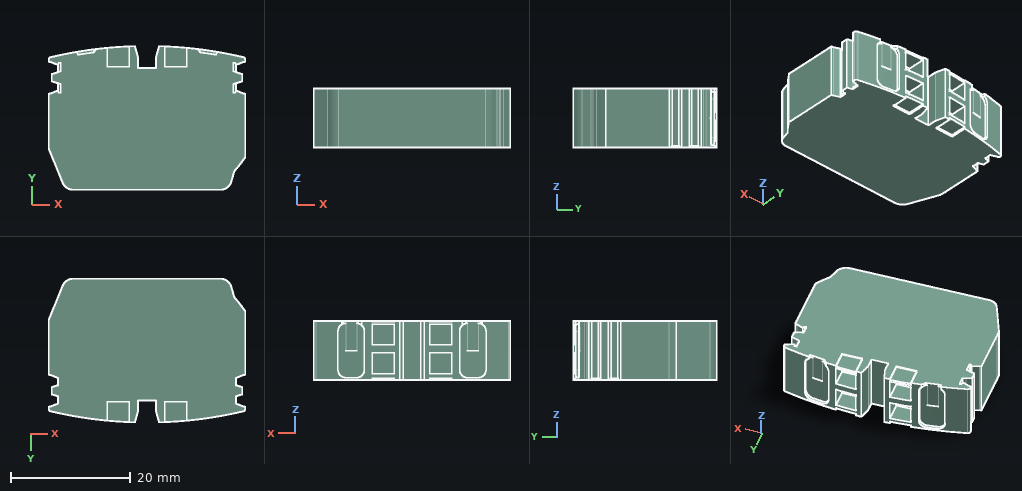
import cadquery as cq
import math

WIDTH = 33
DEPTH = 24.12
THICKNESS = 9.95
HALF_WIDTH = WIDTH / 2

CROWN_RADIUS = 70.3
CROWN_CORNER_RADIUS = 0.5

NOTCH_HALF_MOUTH = 2.0
NOTCH_HALF_WIDTH = 1.5
NOTCH_FLARE_Y = 22.2
NOTCH_FLOOR_Y = 20.45

TOOTH_MIDDLE_Y = 18.8
TOOTH_TIP_X = 15.97
TOOTH_TIP_HALF_HEIGHT = 0.63
GROOVE_FLOOR_X = 14.95
GROOVE_NEAR_OFFSET = 0.92
GROOVE_FAR_OFFSET = 2.15
GROOVE_LIP_X = 16.15
GROOVE_LIP_OFFSET = 2.6
GROOVE_MOUTH_OFFSET = 2.67

UNDERCUT_FLOOR_X = 14.45
UNDERCUT_CORNER_X = 14.75
UNDERCUT_NEAR_OFFSET = 1.1
UNDERCUT_FAR_OFFSET = 2.55
UNDERCUT_LEDGE = 0.33

BASE_CORNER_RADIUS = 1.98
LEFT_SLANT_START_Y = 8.12
LEFT_BEND = (-16.47, 6.85)
LEFT_SLANT_BASE_X = -13.65
RIGHT_SLANT_START_Y = 5.48
RIGHT_BEND = (15.28, 3.85)
RIGHT_HOLLOW = (14.65, 3.17)
RIGHT_HOLLOW_RADIUS = 1
RIGHT_SLANT_BASE_X = 13.75

ENTRY_INNER_X = 3.0
ENTRY_WIDTH = 3.63
ENTRY_HEIGHT = 3.5
ENTRY_FLOOR_Y = 20.7
ENTRY_BOTTOMS = (1.1, 5.9)
TOP_RECESS_DEPTH = 0.15
BOTTOM_RECESS_DEPTH = 0.33

SLOT_INNER_X = 8.0
SLOT_OUTER_X = 12.4
SLOT_END_WALL = 0.43
SLOT_DEPTH = 0.53
SLOT_CORNER_RADIUS = 1.32
NECK_INNER_X = 8.45
NECK_OUTER_X = 11.78
NECK_INNER_FLOOR_X = 9.0
NECK_OUTER_FLOOR_X = 11.55

CROWN_CENTRE_Y = DEPTH - math.sqrt(CROWN_RADIUS**2 - NOTCH_HALF_MOUTH**2)


def crown_y(x):
    """Height of the crown arc at a given X."""
    return CROWN_CENTRE_Y + math.sqrt(CROWN_RADIUS**2 - x**2)


def mirrored(solid):
    """The solid together with its mirror image across X = 0."""
    return solid.union(solid.mirror("YZ"))


def prism(points, bottom, top):
    return cq.Workplane("XY").workplane(offset=bottom).polyline(points).close().extrude(top - bottom)


def box(x_min, x_max, y_min, y_max, z_min, z_max):
    size = (x_max - x_min, y_max - y_min, z_max - z_min)
    return cq.Workplane("XY").box(*size, centered=False).translate((x_min, y_min, z_min))


def round_vertical_edge(body, point, radius):
    corner = (point[0], point[1], THICKNESS / 2)
    return body.edges("|Z").edges(cq.selectors.NearestToPointSelector(corner)).fillet(radius)


def side_profile():
    """Groove and tooth points of the +X side, from bottom to top."""
    lower = [
        (HALF_WIDTH, -GROOVE_MOUTH_OFFSET),
        (GROOVE_LIP_X, -GROOVE_LIP_OFFSET),
        (GROOVE_FLOOR_X, -GROOVE_FAR_OFFSET),
        (GROOVE_FLOOR_X, -GROOVE_NEAR_OFFSET),
        (TOOTH_TIP_X, -TOOTH_TIP_HALF_HEIGHT),
    ]
    upper = [(x, -offset) for x, offset in reversed(lower)]
    return [(x, TOOTH_MIDDLE_Y + offset) for x, offset in lower + upper]


def make_body():
    right_side = side_profile()
    left_side = [(-x, y) for x, y in reversed(right_side)]
    crown_end_y = crown_y(HALF_WIDTH)
    crown_middle_x = (HALF_WIDTH + NOTCH_HALF_MOUTH) / 2
    crown_middle_y = crown_y(crown_middle_x)
    left_base = (LEFT_SLANT_BASE_X, 0)
    right_base = (RIGHT_SLANT_BASE_X, 0)
    body = (
        cq.Workplane("XY")
        .moveTo(-HALF_WIDTH, LEFT_SLANT_START_Y)
        .lineTo(*LEFT_BEND)
        .lineTo(*left_base)
        .lineTo(*right_base)
        .lineTo(*RIGHT_HOLLOW)
        .lineTo(*RIGHT_BEND)
        .lineTo(HALF_WIDTH, RIGHT_SLANT_START_Y)
        .polyline(right_side, includeCurrent=True)
        .lineTo(HALF_WIDTH, crown_end_y)
        .threePointArc((crown_middle_x, crown_middle_y), (NOTCH_HALF_MOUTH, DEPTH))
        .lineTo(NOTCH_HALF_WIDTH, NOTCH_FLARE_Y)
        .lineTo(NOTCH_HALF_WIDTH, NOTCH_FLOOR_Y)
        .lineTo(-NOTCH_HALF_WIDTH, NOTCH_FLOOR_Y)
        .lineTo(-NOTCH_HALF_WIDTH, NOTCH_FLARE_Y)
        .lineTo(-NOTCH_HALF_MOUTH, DEPTH)
        .threePointArc((-crown_middle_x, crown_middle_y), (-HALF_WIDTH, crown_end_y))
        .polyline(left_side, includeCurrent=True)
        .close()
        .extrude(THICKNESS)
    )
    rounded_corners = [
        (left_base, BASE_CORNER_RADIUS),
        (right_base, BASE_CORNER_RADIUS),
        (RIGHT_HOLLOW, RIGHT_HOLLOW_RADIUS),
        ((HALF_WIDTH, crown_end_y), CROWN_CORNER_RADIUS),
        ((-HALF_WIDTH, crown_end_y), CROWN_CORNER_RADIUS),
    ]
    for point, radius in rounded_corners:
        body = round_vertical_edge(body, point, radius)
    return body


def make_undercut(direction):
    """Undercut of one +X groove: direction is 1 above the tooth and -1 below it."""
    section = [
        (GROOVE_FLOOR_X, GROOVE_NEAR_OFFSET),
        (UNDERCUT_FLOOR_X, UNDERCUT_NEAR_OFFSET),
        (UNDERCUT_FLOOR_X, UNDERCUT_FAR_OFFSET),
        (UNDERCUT_CORNER_X, UNDERCUT_FAR_OFFSET),
        (GROOVE_FLOOR_X, GROOVE_FAR_OFFSET),
    ]
    points = [(x, TOOTH_MIDDLE_Y + direction * offset) for x, offset in section]
    return prism(points, UNDERCUT_LEDGE, THICKNESS)


def make_entries():
    """Wire entries of the +X half, with the shallow recesses in the two flat faces."""
    z_ranges = [(bottom, bottom + ENTRY_HEIGHT) for bottom in ENTRY_BOTTOMS]
    z_ranges.append((0, BOTTOM_RECESS_DEPTH))
    z_ranges.append((THICKNESS - TOP_RECESS_DEPTH, THICKNESS))
    entries = cq.Workplane("XY")
    for bottom, top in z_ranges:
        entries = entries.add(
            box(ENTRY_INNER_X, ENTRY_INNER_X + ENTRY_WIDTH, ENTRY_FLOOR_Y, DEPTH, bottom, top)
        )
    return entries.combine()


def make_slot():
    """Marker slot of the +X half: a rounded pocket that follows the crown, plus its neck."""
    pocket = box(
        SLOT_INNER_X, SLOT_OUTER_X, 0, DEPTH, SLOT_END_WALL, THICKNESS - SLOT_END_WALL
    ).edges("|Y").fillet(SLOT_CORNER_RADIUS)
    floor = (
        cq.Workplane("XY").center(0, CROWN_CENTRE_Y).circle(CROWN_RADIUS - SLOT_DEPTH).extrude(THICKNESS)
    )
    neck = prism(
        [
            (NECK_INNER_X, crown_y(NECK_INNER_X)),
            (NECK_INNER_FLOOR_X, crown_y(NECK_INNER_FLOOR_X) - SLOT_DEPTH),
            (NECK_OUTER_FLOOR_X, crown_y(NECK_OUTER_FLOOR_X) - SLOT_DEPTH),
            (NECK_OUTER_X, crown_y(NECK_OUTER_X)),
            (NECK_OUTER_X, DEPTH),
            (NECK_INNER_X, DEPTH),
        ],
        THICKNESS / 2,
        THICKNESS,
    )
    return pocket.cut(floor).union(neck)


result = make_body()
for groove_direction in (1, -1):
    result = result.cut(mirrored(make_undercut(groove_direction)))
result = result.cut(mirrored(make_entries()))
result = result.cut(mirrored(make_slot()))